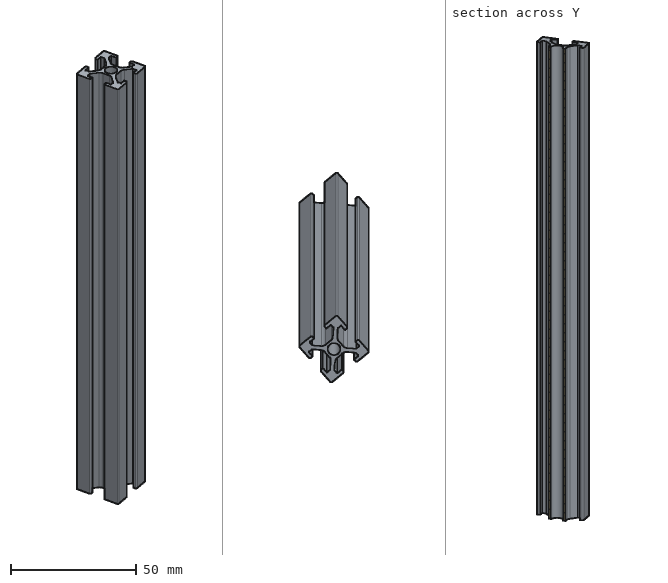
import cadquery as cq
import math

width = 20.0
length = 200.0
bore_diameter = 5.0
corner_radius = 0.5

opening_half_width = 3.2
lip_radius = 0.5
lip_thickness = 1.5
cavity_half_width = 5.5
floor_height = 3.5
floor_half_width = 1.5
web_offset = 1.2

half_width = width / 2
lip_underside = half_width - lip_thickness
web_start = cavity_half_width + web_offset

mouth_half_width = opening_half_width + lip_radius
lip_round_start = half_width - lip_radius
lip_mid_x = mouth_half_width - lip_radius * math.cos(math.radians(45))
lip_mid_y = lip_round_start + lip_radius * math.sin(math.radians(45))

corner_x = floor_height - web_offset
tangent_length = corner_x - floor_half_width
floor_radius = tangent_length / math.tan(math.radians(22.5))
arc_mid_x = floor_half_width + floor_radius * math.sin(math.radians(22.5))
arc_mid_y = floor_height + floor_radius * (1 - math.cos(math.radians(22.5)))
arc_end_x = floor_half_width + floor_radius * math.sin(math.radians(45))
arc_end_y = arc_end_x + web_offset


def make_slot():
    """Full-length T-slot open toward +Y."""
    return (
        cq.Workplane("XY")
        .moveTo(-floor_half_width, floor_height)
        .lineTo(floor_half_width, floor_height)
        .threePointArc((arc_mid_x, arc_mid_y), (arc_end_x, arc_end_y))
        .lineTo(cavity_half_width, web_start)
        .lineTo(cavity_half_width, lip_underside)
        .lineTo(opening_half_width, lip_underside)
        .lineTo(opening_half_width, lip_round_start)
        .threePointArc((lip_mid_x, lip_mid_y), (mouth_half_width, half_width))
        .lineTo(-mouth_half_width, half_width)
        .threePointArc((-lip_mid_x, lip_mid_y), (-opening_half_width, lip_round_start))
        .lineTo(-opening_half_width, lip_underside)
        .lineTo(-cavity_half_width, lip_underside)
        .lineTo(-cavity_half_width, web_start)
        .lineTo(-arc_end_x, arc_end_y)
        .threePointArc((-arc_mid_x, arc_mid_y), (-floor_half_width, floor_height))
        .close()
        .extrude(length)
    )


result = cq.Workplane("XY").rect(width, width).extrude(length).edges("|Z").fillet(corner_radius)
slot = make_slot()
for angle in (0, 90, 180, 270):
    result = result.cut(slot.rotate((0, 0, 0), (0, 0, 1), angle))

result = result.cut(cq.Workplane("XY").circle(bore_diameter / 2).extrude(length))